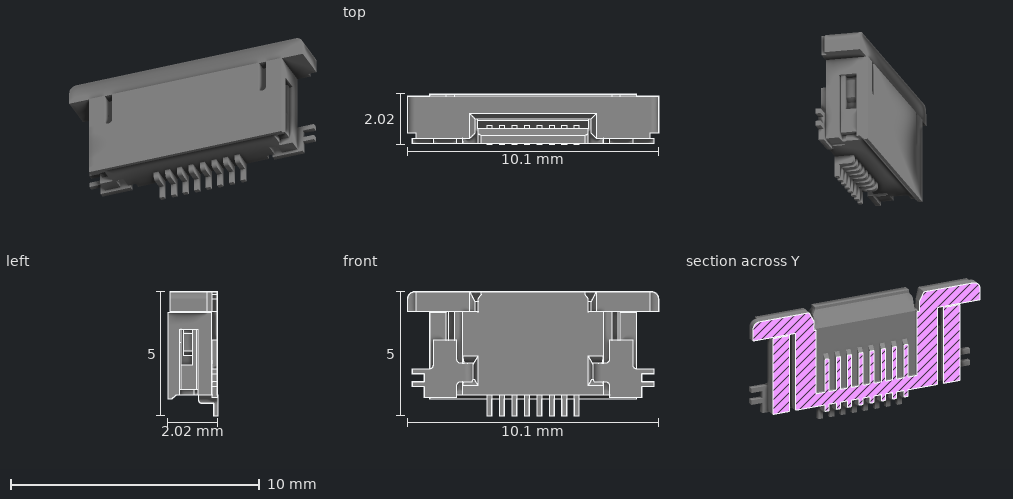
import cadquery as cq
import math


OVERALL_WIDTH = 10.1
TOP_Z = 5.0
FACE_Y = 0.03
BACK_Y = 2.02
PLATE_THICKNESS = 0.21
PLATE_BACK_Y = FACE_Y + PLATE_THICKNESS

COVER_BOTTOM_Z = 4.19
COVER_BACK_Y = 1.94
COVER_FLANGE_FRONT_Y = 0.45
COVER_FRONT_WIDTH = 9.41
COVER_CORNER_RADIUS = 0.3
OPENING_HALF_WIDTH = 2.33
OPENING_BACK_Y = 1.03
OPENING_FLARE = 0.21
OPENING_FLARE_DEPTH = 0.4

BODY_HALF_WIDTH = 4.16
BODY_FRONT_Y = 0.27
BODY_BOTTOM_Z = 0.84
SHOULDER_Z = 4.16
FOOT_Z = 0.68
FOOT_FRONT_Y = 1.88
FOOT_SLOPE_Y = 1.69
PANEL_HALF_WIDTH = 2.83

TONGUE_HALF_WIDTH = 2.21
TONGUE_CORNER_WIDTH = 0.12
TONGUE_CORNER_HEIGHT = 0.17
TONGUE_TIP_Z = TOP_Z - 0.12
TONGUE_TIP_BACK_Y = 0.36
TONGUE_SLOPE_HEIGHT = 0.71
CAVITY_HALF_WIDTH = 2.23
CAVITY_FRONT_Y = 0.65
CAVITY_BACK_Y = 0.96
CAVITY_FLOOR_Z = 1.41
LEAD_IN_HEIGHT = 0.14

GROOVE_OUTER_X = 3.49
GROOVE_STEP_X = 3.4
GROOVE_INNER_X = 3.16
GROOVE_SHALLOW_Y = 0.71
GROOVE_DEEP_Y = 0.81
REAR_SLOT_FLOOR_Z = 2.8

SLOT_FRONT_Y = 0.82
SLOT_BACK_Y = 1.56
SLOT_TOP_Z = 3.48
SLOT_FLOOR_X = 3.67
SLOT_STEP_Y = 0.97
SLOT_STEP_DEPTH = 0.05
LATCH_FACE_X = 4.04
LATCH_FRONT_Y = 0.88
LATCH_BACK_Y = 1.49
LATCH_BOTTOM_Z = 1.07
LATCH_BLOCK_TOP_Z = 2.05
LATCH_ARM_BACK_Y = 1.04
BUMP_FACE_X = 3.84
BUMP_BACK_Y = 1.4
BUMP_BOTTOM_Z = 2.43
BUMP_SLOPE = BUMP_FACE_X - SLOT_FLOOR_X

PLATE_OUTER_X = 4.37
PLATE_UPPER_OUTER_X = 4.01
PLATE_INNER_X = 3.07
PLATE_BOTTOM_Z = 0.74
PLATE_TOP_Z = 3.05
PLATE_FILLET = 0.15
LEG_OUTER_X = 4.86
LEG_HEIGHT = 0.2
UPPER_LEG_TOP_Z = 1.9
LOWER_LEG_TOP_Z = 1.38
HOOK_BOTTOM_Z = 1.37
HOOK_TOP_Z = 2.13
HOOK_BEND_X = 2.74
HOOK_RADIUS = 0.32
HOOK_END_Y = 0.71

WINDOW_BOTTOM_Z = 1.22
WINDOW_TOP_Z = 2.41
WINDOW_SILL_Z = 1.46
WINDOW_DEPTH = 0.36
WINDOW_OUTER_INSET = 0.07
WINDOW_INNER_INSET = 0.21

PIN_COUNT = 8
PIN_ROW_LENGTH = 3.5
PIN_WIDTH = 0.2
PIN_THICKNESS = 0.18
PIN_KNEE_Z = 0.5
PIN_BACK_Y = 0.8
PIN_KNEE_RADIUS = 0.15
CONTACT_TOP_Z = 3.03
CONTACT_BACK_Y = 0.77
CONTACT_BEVEL_HEIGHT = 0.2


def box(x0, x1, y0, y1, z0, z1):
    """Box between opposite corners."""
    return cq.Workplane("XY").box(x1 - x0, y1 - y0, z1 - z0, centered=False).translate((x0, y0, z0))


def centered_box(half_width, y0, y1, z0, z1):
    """Box symmetric about X = 0."""
    return box(-half_width, half_width, y0, y1, z0, z1)


def front_prism(points, y0, y1):
    """Prism of an X-Z outline between two Y values."""
    return cq.Workplane("XZ", origin=(0, y0, 0)).polyline(points).close().extrude(y0 - y1)


def side_prism(points, x0, x1):
    """Prism of a Y-Z outline between two X values."""
    return cq.Workplane("YZ", origin=(x0, 0, 0)).polyline(points).close().extrude(x1 - x0)


def both_sides(left):
    """The left-hand shape together with its mirror image."""
    return left.union(left.mirror("YZ"))


def make_cover():
    half = OVERALL_WIDTH / 2
    flange = centered_box(half, COVER_FLANGE_FRONT_Y, COVER_BACK_Y, COVER_BOTTOM_Z, TOP_Z)
    flange = flange.edges("|Y and >Z").fillet(COVER_CORNER_RADIUS)
    front = centered_box(
        COVER_FRONT_WIDTH / 2, PLATE_BACK_Y, COVER_FLANGE_FRONT_Y, COVER_BOTTOM_Z, TOP_Z
    )
    return flange.union(front).cut(make_cover_opening())


def make_cover_opening():
    """Front-open notch, flared toward the top and toward the front."""
    flare_z = TOP_Z - OPENING_FLARE_DEPTH
    wide = OPENING_HALF_WIDTH + OPENING_FLARE
    straight = centered_box(OPENING_HALF_WIDTH, PLATE_BACK_Y, OPENING_BACK_Y, COVER_BOTTOM_Z, TOP_Z)
    top_flare = front_prism(
        [(-OPENING_HALF_WIDTH, flare_z), (OPENING_HALF_WIDTH, flare_z), (wide, TOP_Z), (-wide, TOP_Z)],
        PLATE_BACK_Y,
        OPENING_BACK_Y + OPENING_FLARE,
    )
    back_limit = side_prism(
        [
            (PLATE_BACK_Y, flare_z),
            (OPENING_BACK_Y, flare_z),
            (OPENING_BACK_Y + OPENING_FLARE, TOP_Z),
            (PLATE_BACK_Y, TOP_Z),
        ],
        -wide,
        wide,
    )
    front_flare = (
        cq.Workplane("XY", origin=(0, 0, COVER_BOTTOM_Z))
        .polyline([
            (-wide, PLATE_BACK_Y),
            (wide, PLATE_BACK_Y),
            (OPENING_HALF_WIDTH, PLATE_BACK_Y + OPENING_FLARE),
            (-OPENING_HALF_WIDTH, PLATE_BACK_Y + OPENING_FLARE),
        ])
        .close()
        .extrude(TOP_Z - COVER_BOTTOM_Z)
    )
    return straight.union(top_flare.intersect(back_limit)).union(front_flare)


def make_housing():
    profile = [
        (BODY_FRONT_Y, BODY_BOTTOM_Z),
        (FOOT_SLOPE_Y, BODY_BOTTOM_Z),
        (FOOT_FRONT_Y, FOOT_Z),
        (BACK_Y, FOOT_Z),
        (BACK_Y, SHOULDER_Z),
        (BODY_FRONT_Y, SHOULDER_Z),
    ]
    body = side_prism(profile, -BODY_HALF_WIDTH, BODY_HALF_WIDTH)
    core = centered_box(GROOVE_OUTER_X, BODY_FRONT_Y, COVER_BACK_Y, BODY_BOTTOM_Z, COVER_BOTTOM_Z)
    panel = centered_box(PANEL_HALF_WIDTH, FACE_Y, BODY_FRONT_Y, BODY_BOTTOM_Z, COVER_BOTTOM_Z)
    body = body.union(core).union(panel).union(make_tongue()).cut(make_cavity())
    side_cuts = make_groove().union(make_rear_slot()).union(make_side_slot()).union(make_window())
    return body.cut(both_sides(side_cuts))


def make_tongue():
    """Panel extension with cut upper corners."""
    tip_half = TONGUE_HALF_WIDTH - TONGUE_CORNER_WIDTH
    right_edge = [
        (TONGUE_HALF_WIDTH, COVER_BOTTOM_Z),
        (TONGUE_HALF_WIDTH, TONGUE_TIP_Z - TONGUE_CORNER_HEIGHT),
        (tip_half, TONGUE_TIP_Z),
        (tip_half, TOP_Z),
    ]
    left_edge = [(-x, z) for x, z in reversed(right_edge)]
    return front_prism(right_edge + left_edge, FACE_Y, CAVITY_FRONT_Y)


def make_cavity():
    """Cable slot that slopes the back of the tongue and has a lead-in on its own back wall."""
    section = [
        (CAVITY_FRONT_Y, CAVITY_FLOOR_Z),
        (CAVITY_BACK_Y, CAVITY_FLOOR_Z),
        (CAVITY_BACK_Y, COVER_BOTTOM_Z - LEAD_IN_HEIGHT),
        (OPENING_BACK_Y, COVER_BOTTOM_Z),
        (OPENING_BACK_Y, TOP_Z),
        (TONGUE_TIP_BACK_Y, TOP_Z),
        (TONGUE_TIP_BACK_Y, TONGUE_TIP_Z),
        (CAVITY_FRONT_Y, TONGUE_TIP_Z - TONGUE_SLOPE_HEIGHT),
    ]
    return side_prism(section, -CAVITY_HALF_WIDTH, CAVITY_HALF_WIDTH)


def make_groove():
    """Stepped vertical groove in the front of the left post, open at both ends."""
    shallow = box(
        -GROOVE_OUTER_X, -GROOVE_STEP_X, BODY_FRONT_Y, GROOVE_SHALLOW_Y, BODY_BOTTOM_Z, COVER_BOTTOM_Z
    )
    deep = box(
        -GROOVE_STEP_X, -GROOVE_INNER_X, BODY_FRONT_Y, GROOVE_DEEP_Y, BODY_BOTTOM_Z, COVER_BOTTOM_Z
    )
    return shallow.union(deep)


def make_rear_slot():
    """Slot through the left rear wall, open at the top, with a half-round floor."""
    radius = (GROOVE_OUTER_X - GROOVE_INNER_X) / 2
    center_x = -(GROOVE_OUTER_X + GROOVE_INNER_X) / 2
    center_z = REAR_SLOT_FLOOR_Z + radius
    return (
        cq.Workplane("XZ", origin=(0, LATCH_BACK_Y, 0))
        .moveTo(-GROOVE_OUTER_X, COVER_BOTTOM_Z)
        .lineTo(-GROOVE_OUTER_X, center_z)
        .threePointArc((center_x, REAR_SLOT_FLOOR_Z), (-GROOVE_INNER_X, center_z))
        .lineTo(-GROOVE_INNER_X, COVER_BOTTOM_Z)
        .close()
        .extrude(LATCH_BACK_Y - BACK_Y)
    )


def make_side_slot():
    """Slot in the left side, open at the bottom and deeper along its back wall."""
    slot = box(
        -BODY_HALF_WIDTH, -SLOT_FLOOR_X, SLOT_FRONT_Y, SLOT_BACK_Y, BODY_BOTTOM_Z, SLOT_TOP_Z
    )
    back_gap = box(
        -SLOT_FLOOR_X, -GROOVE_OUTER_X, LATCH_BACK_Y, SLOT_BACK_Y, LATCH_BOTTOM_Z, SLOT_TOP_Z
    )
    bottom_step = box(
        -SLOT_FLOOR_X, -SLOT_FLOOR_X + SLOT_STEP_DEPTH,
        SLOT_FRONT_Y, SLOT_STEP_Y, BODY_BOTTOM_Z, LATCH_BOTTOM_Z,
    )
    return slot.union(back_gap).union(bottom_step)


def make_window():
    """Pocket that clears the left hook, with 45-degree sill and lintel and tapered sides."""
    floor_y = FACE_Y + WINDOW_DEPTH
    sill_y = FACE_Y + WINDOW_SILL_Z - WINDOW_BOTTOM_Z
    section = side_prism(
        [
            (FACE_Y, WINDOW_BOTTOM_Z),
            (sill_y, WINDOW_SILL_Z),
            (floor_y, WINDOW_SILL_Z),
            (floor_y, WINDOW_TOP_Z - WINDOW_DEPTH),
            (FACE_Y, WINDOW_TOP_Z),
        ],
        -PANEL_HALF_WIDTH,
        -TONGUE_HALF_WIDTH,
    )
    plan = (
        cq.Workplane("XY", origin=(0, 0, WINDOW_BOTTOM_Z))
        .polyline([
            (-PANEL_HALF_WIDTH, FACE_Y),
            (-TONGUE_HALF_WIDTH, FACE_Y),
            (-TONGUE_HALF_WIDTH - WINDOW_INNER_INSET, floor_y),
            (-PANEL_HALF_WIDTH + WINDOW_OUTER_INSET, floor_y),
        ])
        .close()
        .extrude(WINDOW_TOP_Z - WINDOW_BOTTOM_Z)
    )
    return section.intersect(plan)


def make_latch():
    """L-shaped latch arm with a sloped bump, set inside the left side slot."""
    block = box(
        -LATCH_FACE_X, -SLOT_FLOOR_X, LATCH_FRONT_Y, LATCH_BACK_Y, LATCH_BOTTOM_Z, LATCH_BLOCK_TOP_Z
    )
    arm = box(
        -LATCH_FACE_X, -SLOT_FLOOR_X, LATCH_FRONT_Y, LATCH_ARM_BACK_Y, LATCH_BLOCK_TOP_Z, SLOT_TOP_Z
    )
    bump = front_prism(
        [
            (-SLOT_FLOOR_X, BUMP_BOTTOM_Z),
            (-BUMP_FACE_X, BUMP_BOTTOM_Z + BUMP_SLOPE),
            (-BUMP_FACE_X, SLOT_TOP_Z - BUMP_SLOPE),
            (-SLOT_FLOOR_X, SLOT_TOP_Z),
        ],
        LATCH_ARM_BACK_Y,
        BUMP_BACK_Y,
    )
    return block.union(arm).union(bump)


def make_solder_plate():
    """Left solder plate with two legs and a hook bent back into the housing."""
    foot = box(
        -PLATE_OUTER_X, -PLATE_INNER_X, FACE_Y, PLATE_BACK_Y, PLATE_BOTTOM_Z, UPPER_LEG_TOP_Z
    )
    upper = box(
        -PLATE_UPPER_OUTER_X, -PLATE_INNER_X, FACE_Y, PLATE_BACK_Y, UPPER_LEG_TOP_Z, PLATE_TOP_Z
    )
    tab = box(-PLATE_INNER_X, -HOOK_BEND_X, FACE_Y, PLATE_BACK_Y, HOOK_BOTTOM_Z, HOOK_TOP_Z)
    plate = foot.union(upper).union(tab)
    for leg_top in (UPPER_LEG_TOP_Z, LOWER_LEG_TOP_Z):
        plate = plate.union(
            box(-LEG_OUTER_X, -PLATE_OUTER_X, FACE_Y, PLATE_BACK_Y, leg_top - LEG_HEIGHT, leg_top)
        )
    inner_corners = (
        (-PLATE_UPPER_OUTER_X, UPPER_LEG_TOP_Z),
        (-PLATE_INNER_X, HOOK_TOP_Z),
        (-PLATE_INNER_X, HOOK_BOTTOM_Z),
    )
    middle_y = (FACE_Y + PLATE_BACK_Y) / 2
    for x, z in inner_corners:
        corner = cq.selectors.NearestToPointSelector((x, middle_y, z))
        plate = plate.edges("|Y").edges(corner).fillet(PLATE_FILLET)
    return plate.union(make_hook())


def make_hook():
    """Quarter-turn bend from the plate tab, continued straight back as a tail."""
    center_y = FACE_Y + HOOK_RADIUS
    inner_radius = HOOK_RADIUS - PLATE_THICKNESS
    outer_x = -HOOK_BEND_X + HOOK_RADIUS
    inner_x = -HOOK_BEND_X + inner_radius
    diagonal = math.sqrt(0.5)
    return (
        cq.Workplane("XY", origin=(0, 0, HOOK_BOTTOM_Z))
        .moveTo(-HOOK_BEND_X, FACE_Y)
        .threePointArc(
            (-HOOK_BEND_X + HOOK_RADIUS * diagonal, center_y - HOOK_RADIUS * diagonal),
            (outer_x, center_y),
        )
        .lineTo(outer_x, HOOK_END_Y)
        .lineTo(inner_x, HOOK_END_Y)
        .lineTo(inner_x, center_y)
        .threePointArc(
            (-HOOK_BEND_X + inner_radius * diagonal, center_y - inner_radius * diagonal),
            (-HOOK_BEND_X, PLATE_BACK_Y),
        )
        .close()
        .extrude(HOOK_TOP_Z - HOOK_BOTTOM_Z)
    )


def make_pin(center_x):
    """Angled pin whose upper end is a bevelled contact lying on the cavity front wall."""
    x0 = center_x - PIN_WIDTH / 2
    x1 = center_x + PIN_WIDTH / 2
    lead = box(x0, x1, 0, PIN_THICKNESS, 0, BODY_BOTTOM_Z)
    knee = box(x0, x1, 0, PIN_BACK_Y, PIN_KNEE_Z, BODY_BOTTOM_Z)
    knee = knee.edges("|X and >Y and <Z").fillet(PIN_KNEE_RADIUS)
    contact = side_prism(
        [
            (CAVITY_FRONT_Y, BODY_BOTTOM_Z),
            (CONTACT_BACK_Y, BODY_BOTTOM_Z),
            (CONTACT_BACK_Y, CONTACT_TOP_Z - CONTACT_BEVEL_HEIGHT),
            (CAVITY_FRONT_Y, CONTACT_TOP_Z),
        ],
        x0,
        x1,
    )
    return lead.union(knee).union(contact)


result = make_housing().union(make_cover())
result = result.union(both_sides(make_latch().union(make_solder_plate())))
for index in range(PIN_COUNT):
    pin_x = PIN_ROW_LENGTH * (index / (PIN_COUNT - 1) - 0.5)
    result = result.union(make_pin(pin_x))